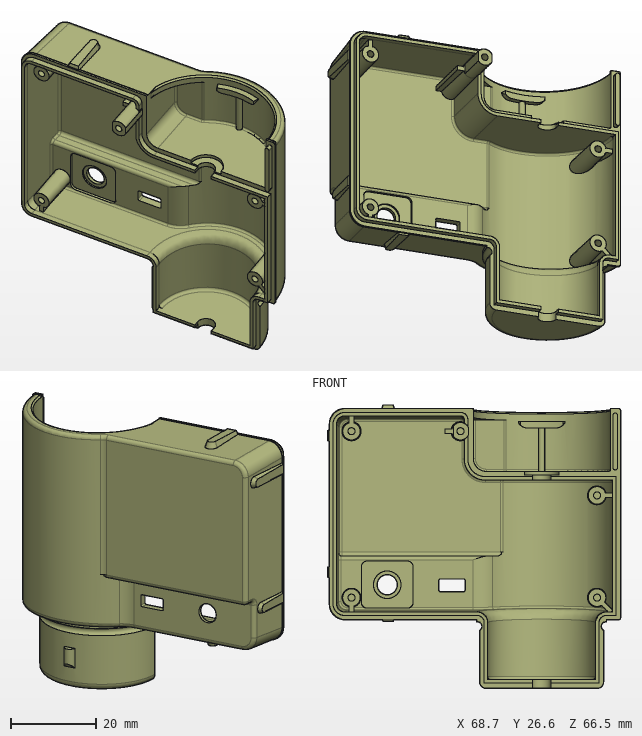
import cadquery as cq
import math

draft = 3.0
back_wall = 1.9
reach = 41.2
overlap = 0.7

barrel_radius = 18.55
body_left = -49.8
body_bottom = 16.1
body_top = 65.7
body_corner = 3.7
deep_back = 15.65
deep_blend = 2.75
shallow_back = 12.1
shallow_blend = 4.6
step_z = 29.4
step_fillet = 0.9
back_fillet = 1.0
band_depth = 0.6
band_right_corner = 0.55
band_step = 0.15

inner_radius = barrel_radius - back_wall
inner_deep_blend = 1.1
inner_shallow_blend = shallow_blend + back_wall
deep_floor = deep_back - back_wall
shallow_floor = shallow_back - back_wall
inner_step_z = 31.05
floor_fillet = 0.55
cavity_left = -48.1
cavity_bottom = 17.9
cavity_top = 63.9
cavity_corner = 1.9
cavity_top_corner = 0.8
divider_left = -18.1
divider_bottom = 48.85
divider_corner = 4.95

lip_height = 1.45
lip_width = 0.8

collar_radius = 14.55
collar_bore_radius = 12.65
collar_floor = 2.05
collar_fillet = 1.6
bore_fillet = 0.75
neck_flare = 2.5
flange_radius = 15.25
groove_radius = 1.0
groove_center_radius = 15.05
groove_center_z = 14.55

bay_radius = 16.15
bay_left = -16.0
bay_bottom = 50.9
bay_corner = 3.0
bay_pocket_top = 63.6
bay_pocket_back = 13.7
bay_pocket_blend = 1.0
bay_pocket_right = -8.25
bay_floor_fillet = 0.5
bay_rim_chamfer = 0.4

shaft_radius = 2.2
shaft_seat_radius = 4.05
shaft_seat_depth = 0.8

boss_radius = 2.05
boss_draft = 0.8
boss_face = 0.35
boss_hole_radius = 0.8
boss_hole_depth = 5.5
web_width = 1.1
boss_left_x = -44.6
boss_right_x = 13.0
boss_high_z = 60.3
boss_low_z = 21.3
boss_side_z = 45.3

post_x = -19.0
post_left = -20.7
post_right = -17.2
post_end = -8.0
post_web_left = -22.6

boss_places = (
    (boss_left_x, boss_high_z),
    (boss_left_x, boss_low_z),
    (boss_right_x, boss_side_z),
    (boss_right_x, boss_low_z),
    (post_x, boss_high_z),
)

jack_x = -36.2
jack_z = 24.3
jack_hole_radius = 2.35
jack_seat_radius = 3.2
jack_seat_depth = 0.4
pad_width = 12.15
pad_bottom = 18.8
pad_top = 29.9
pad_corner = 1.4
pad_depth = 0.6
slot_x = -21.0
slot_z = 24.2
slot_width = 6.1
slot_height = 2.95
slot_corner = 0.35

grip_base_width = 3.7
grip_tip_width = 3.3
grip_sink = 1.8
grip_slope = 20.0
grip_x = -36.0
top_grip_face = 66.5
top_grip_tip = 11.55
bottom_grip_face = 15.65
left_grip_face = -50.15
high_grip_z = 59.3
low_grip_z = 27.3
deep_grip_tip = 13.95
shallow_grip_tip = 11.05

bead_x = 17.25
bead_width = 1.1
bead_bottom = 51.25
bead_top = 64.6
catch_radius = 14.7
catch_half_width = 5.55
catch_flat = 3.3
catch_bottom = 61.05
catch_top = 62.6
catch_half_angle = 19.8
stem_radius = 0.75
stem_y = 15.8

peg_radius = 1.4
peg_bottom = 5.15
peg_top = 10.0
peg_slope = 1.2


def box_between(x0, x1, y0, y1, z0, z1):
    """Box between two corners."""
    return cq.Workplane("XY").box(x1 - x0, y1 - y0, z1 - z0, centered=False).translate((x0, y0, z0))


def rounded_outline(plane, corners):
    """Closed outline of square corners given as (u, v, radius)."""
    outline = cq.Workplane(plane)
    for index, (u, v, radius) in enumerate(corners):
        before = corners[index - 1]
        after = corners[(index + 1) % len(corners)]
        to_before = cq.Vector(before[0] - u, before[1] - v).normalized() * radius
        to_after = cq.Vector(after[0] - u, after[1] - v).normalized() * radius
        corner = cq.Vector(u, v)
        start = (corner + to_before).toTuple()[:2]
        end = (corner + to_after).toTuple()[:2]
        middle = (corner + (to_before + to_after) * (1 - math.sqrt(0.5))).toTuple()[:2]
        outline = outline.moveTo(*start) if index == 0 else outline.lineTo(*start)
        if radius > 0:
            outline = outline.threePointArc(middle, end)
    return outline.close()


def pull(outline, y0, y1, taper=0.0):
    """Pull an X-Z outline along Y from y0 to y1."""
    return outline.extrude(y0 - y1, taper=taper).translate((0, y0, 0))


def drafted_block(corners, y0):
    """Block with drafted sides and constant corner radii, narrowing from y0 towards the back."""
    sharp = [(u, v, 0) for u, v, _ in corners]
    block = pull(rounded_outline("XZ", sharp), y0, reach, draft)
    for u, v, radius in corners:
        if radius > 0:
            block = block.edges(cq.NearestToPointSelector((u, (y0 + reach) / 2, v))).fillet(radius)
    return block


def rod(radius, x, z, y0, y1, taper=0.0):
    """Round bar along Y."""
    return pull(cq.Workplane("XZ").center(x, z).circle(radius), y0, y1, taper)


def back_half(solid):
    """The part of a solid behind the parting plane."""
    return solid.intersect(box_between(-2 * reach, reach, 0, reach, -reach, 2 * reach))


def round_bar(radius, z0, z1):
    """Cylinder about the barrel axis."""
    return cq.Workplane("XY").workplane(offset=z0).circle(radius).extrude(z1 - z0)


def block_and_barrel(radius, back, blend):
    """Flat-backed block that runs into the half barrel through a tangent blend."""
    blend_y = back + blend
    blend_x = -math.sqrt((radius + blend) ** 2 - blend_y ** 2)
    join = radius / (radius + blend)
    mid_angle = (math.atan2(-blend_y, -blend_x) - math.pi / 2) / 2
    blend_middle = (blend_x + blend * math.cos(mid_angle), blend_y + blend * math.sin(mid_angle))
    barrel_middle = (radius * math.sqrt(0.5), radius * math.sqrt(0.5))
    return (
        cq.Workplane("XY")
        .moveTo(radius, 0)
        .lineTo(-2 * reach, 0)
        .lineTo(-2 * reach, back)
        .lineTo(blend_x, back)
        .threePointArc(blend_middle, (blend_x * join, blend_y * join))
        .threePointArc(barrel_middle, (radius, 0))
        .close()
        .extrude(2 * reach)
    )


def above_step(low_y, high_y, z):
    """Everything above an S-shaped step from one back plane to a deeper one."""
    slant = step_fillet * math.sqrt(0.5)
    foot = z - step_fillet
    head = z + step_fillet
    return (
        cq.Workplane("YZ").workplane(offset=-2 * reach)
        .moveTo(0, foot)
        .lineTo(low_y, foot)
        .threePointArc((low_y + step_fillet - slant, foot + slant), (low_y + step_fillet, z))
        .lineTo(high_y - step_fillet, z)
        .threePointArc((high_y - step_fillet + slant, head - slant), (high_y, head))
        .lineTo(reach, head)
        .lineTo(reach, 2 * reach)
        .lineTo(0, 2 * reach)
        .close()
        .extrude(4 * reach)
    )


def stepped_form(radius, deep, deep_radius, shallow, shallow_radius, z):
    """Shallow and deep blocks joined to one barrel, with the step at height z."""
    shallow_part = block_and_barrel(radius, shallow, shallow_radius)
    deep_part = block_and_barrel(radius, deep, deep_radius)
    return shallow_part.union(deep_part.intersect(above_step(shallow, deep, z)))


def body_corners(inset, right, right_corner):
    """Front corners of the main body."""
    left = body_left + inset
    bottom = body_bottom + inset
    top = body_top - inset
    left_corner = body_corner - inset
    return [
        (left, bottom, left_corner),
        (left, top, left_corner),
        (right, top, right_corner),
        (right, bottom, right_corner),
    ]


def cavity_corners(grow):
    """Front corners of the cavity and the collar bore, offset outwards by grow."""
    left = cavity_left - grow
    right = inner_radius + grow
    bottom = cavity_bottom - grow
    top = cavity_top + grow
    leg = divider_left + grow
    ceiling = divider_bottom + grow
    bore = collar_bore_radius + grow
    floor = collar_floor - grow
    flare = neck_flare - grow
    return [
        (left, bottom, cavity_corner + grow),
        (left, top, cavity_corner + grow),
        (leg, top, cavity_top_corner + grow),
        (leg, ceiling, divider_corner - grow),
        (right, ceiling, 0),
        (right, bottom, 0),
        (bore, bottom, flare),
        (bore, floor, 0),
        (-bore, floor, 0),
        (-bore, bottom, flare),
    ]


def make_body():
    """Drafted outer form with its back perimeter rounded and a straight band at the front."""
    form = stepped_form(barrel_radius, deep_back, deep_blend, shallow_back, shallow_blend, step_z)
    body = form.intersect(drafted_block(body_corners(band_step, reach, 0), band_depth))
    back_edge = cq.NearestToPointSelector((body_left / 2, deep_back, body_top))
    body = body.edges(back_edge).fillet(back_fillet)
    band = rounded_outline("XZ", body_corners(0, barrel_radius, band_right_corner))
    return body.union(pull(band, 0, band_depth))


def make_collar():
    """Turned collar with a rounded end and a groove below the body."""
    slant = collar_fillet * (1 - math.sqrt(0.5))
    groove_drop = math.sqrt(groove_radius ** 2 - (groove_center_radius - collar_radius) ** 2)
    groove_top = groove_center_z + groove_radius
    profile = (
        cq.Workplane("XZ")
        .lineTo(collar_radius - collar_fillet, 0)
        .threePointArc((collar_radius - slant, slant), (collar_radius, collar_fillet))
        .lineTo(collar_radius, groove_center_z - groove_drop)
        .threePointArc(
            (groove_center_radius - groove_radius, groove_center_z),
            (groove_center_radius, groove_top),
        )
        .lineTo(flange_radius, groove_top)
        .lineTo(flange_radius, cavity_bottom)
        .lineTo(0, cavity_bottom)
        .close()
    )
    return back_half(profile.revolve(360, (0, 0, 0), (0, 1, 0)))


def make_bosses():
    """Screw bosses with their webs, reaching past the cavity floor."""
    half = web_width / 2
    low = boss_low_z
    webs = [
        box_between(boss_left_x - half, boss_left_x + half, boss_face, reach, boss_high_z, body_top),
        box_between(boss_left_x - half, boss_left_x + half, boss_face, reach, body_bottom, low),
        box_between(boss_right_x, barrel_radius, boss_face, reach, boss_side_z - half, boss_side_z + half),
        box_between(post_web_left, post_x, boss_face, reach, boss_high_z - half, boss_high_z + half),
        box_between(0, barrel_radius - boss_right_x, boss_face, reach, -half, half)
        .rotate((0, 0, 0), (0, 1, 0), 45).translate((boss_right_x, 0, low)),
    ]
    bosses = cq.Workplane("XY")
    for x, z in boss_places:
        bosses = bosses.add(rod(boss_radius, x, z, boss_face, reach / 2, -boss_draft))
    for web in webs:
        bosses = bosses.add(web)
    return bosses.combine()


def make_cavity():
    """Space inside the body and the collar, around the bosses."""
    walls = drafted_block(
        [
            (cavity_left, cavity_bottom, cavity_corner),
            (cavity_left, cavity_top, cavity_corner),
            (reach, cavity_top, 0),
            (reach, cavity_bottom, 0),
        ],
        0,
    )
    divider_corners = [
        (divider_left, divider_bottom, divider_corner),
        (divider_left, 2 * reach, 0),
        (reach, 2 * reach, 0),
        (reach, divider_bottom, 0),
    ]
    walls = walls.cut(pull(rounded_outline("XZ", divider_corners), 0, reach))
    top_corner = cq.NearestToPointSelector((divider_left, reach / 2, cavity_top))
    walls = walls.edges(top_corner).fillet(cavity_top_corner)

    form = stepped_form(
        inner_radius, deep_floor, inner_deep_blend, shallow_floor, inner_shallow_blend, inner_step_z
    )
    main = form.intersect(walls)
    floor_edge = cq.NearestToPointSelector((cavity_left / 2, deep_floor, cavity_top))
    main = main.edges(floor_edge).fillet(floor_fillet)

    bore = round_bar(collar_bore_radius, collar_floor, inner_step_z)
    bore = bore.faces("<Z").edges().fillet(bore_fillet)
    cavity = main.union(back_half(bore))
    neck_edge = cq.NearestToPointSelector((0, collar_bore_radius, cavity_bottom))
    cavity = cavity.edges(neck_edge).fillet(neck_flare)
    return cavity.cut(make_bosses())


def make_lip():
    """Raised rim that follows the cavity."""
    outer = pull(rounded_outline("XZ", cavity_corners(lip_width)), 0, -lip_height)
    return outer.cut(pull(rounded_outline("XZ", cavity_corners(0)), 0, -lip_height))


def make_bay():
    """Open-topped half barrel with a wider pocket on its left, below the rim."""
    bay_corners = [
        (bay_left, bay_bottom, bay_corner),
        (bay_left, 2 * reach, 0),
        (reach, 2 * reach, 0),
        (reach, bay_bottom, 0),
    ]
    ceiling_corners = [
        (-reach, 0, 0),
        (-reach, bay_pocket_top, 0),
        (reach, bay_pocket_top, 0),
        (reach, 0, 0),
    ]
    barrel = back_half(round_bar(bay_radius, 0, 2 * reach))
    pocket = block_and_barrel(bay_radius, bay_pocket_back, bay_pocket_blend)
    pocket = pocket.intersect(drafted_block(ceiling_corners, 0))
    pocket = pocket.intersect(box_between(-reach, bay_pocket_right, 0, reach, 0, 2 * reach))
    bay = barrel.union(pocket).intersect(pull(rounded_outline("XZ", bay_corners), 0, reach))
    floor_edge = cq.NearestToPointSelector((0, bay_radius, bay_bottom))
    return bay.edges(floor_edge).fillet(bay_floor_fillet)


def make_shaft_notches():
    """Half-round notches through the divider and the collar end, with a seat on the divider."""
    notches = round_bar(shaft_seat_radius, bay_bottom - shaft_seat_depth, bay_bottom + overlap)
    for bottom, top in ((divider_bottom - lip_width, bay_bottom), (0, collar_floor)):
        z0 = bottom - overlap
        z1 = top + overlap
        notches = notches.union(round_bar(shaft_radius, z0, z1))
        notches = notches.union(box_between(-shaft_radius, shaft_radius, -reach, 0, z0, z1))
    return notches


def make_jack_openings():
    """Recessed pad with a stepped hole, and the slot beside it."""
    pad_height = pad_top - pad_bottom
    pad_y = shallow_floor + pad_depth
    pad = pull(
        cq.Workplane("XZ").center(jack_x, pad_bottom + pad_height / 2).rect(pad_width, pad_height),
        shallow_floor - overlap, pad_y,
    ).edges("|Y").fillet(pad_corner)
    seat = rod(jack_seat_radius, jack_x, jack_z, shallow_floor, pad_y + jack_seat_depth)
    hole = rod(jack_hole_radius, jack_x, jack_z, shallow_floor, reach)
    slot = pull(
        cq.Workplane("XZ").center(slot_x, slot_z).rect(slot_width, slot_height),
        shallow_floor - overlap, reach,
    ).edges("|Y").fillet(slot_corner)
    return pad.union(seat).union(hole).union(slot)


def make_grip(tip, turn, place):
    """Tapered rib with sloped sides and a round tip along Y, turned about Y to face its wall."""
    base = grip_base_width / 2
    end = grip_tip_width / 2
    grip = (
        cq.Workplane("XY").workplane(offset=-grip_sink)
        .moveTo(-base, 0)
        .lineTo(-end, tip - end)
        .threePointArc((0, tip), (end, tip - end))
        .lineTo(base, 0)
        .close()
        .extrude(grip_sink, taper=grip_slope)
    )
    return grip.rotate((0, 0, 0), (0, 1, 0), turn).translate(place)


def make_grips():
    """Grip ribs on the left, top and bottom walls."""
    grips = make_grip(top_grip_tip, 0, (grip_x, 0, top_grip_face))
    grips = grips.union(make_grip(shallow_grip_tip, 180, (grip_x, 0, bottom_grip_face)))
    grips = grips.union(make_grip(shallow_grip_tip, -90, (left_grip_face, 0, low_grip_z)))
    return grips.union(make_grip(deep_grip_tip, -90, (left_grip_face, 0, high_grip_z)))


def make_post():
    """Long post with two flat sides, in front of the upper middle boss."""
    post = rod(boss_radius, post_x, boss_high_z, boss_face, post_end)
    return post.intersect(box_between(post_left, post_right, -reach, reach, 0, 2 * reach))


def make_boss_holes():
    """Blind screw holes in the bosses and in the end of the post."""
    holes = rod(boss_hole_radius, post_x, boss_high_z, post_end, post_end + boss_hole_depth)
    for x, z in boss_places[:-1]:
        holes = holes.union(rod(boss_hole_radius, x, z, boss_face, boss_face + boss_hole_depth))
    return holes


def make_bead():
    """Round-ended bead on the right edge of the bay."""
    middle = (bead_bottom + bead_top) / 2
    outline = cq.Workplane("XZ").center(bead_x, middle).slot2D(bead_top - bead_bottom, bead_width, 90)
    return pull(outline, band_depth, -lip_height)


def make_catch():
    """Curved ledge on the back of the bay, with a stem down to the divider."""
    ring = round_bar(bay_radius + overlap, catch_bottom, catch_top)
    ring = ring.cut(round_bar(catch_radius, catch_bottom, catch_top))
    side = catch_half_width - catch_flat
    height = catch_top - catch_bottom
    end_radius = (side ** 2 + height ** 2) / (2 * height)
    half_turn = math.asin(side / end_radius) / 2
    arc_x = catch_flat + end_radius * math.sin(half_turn)
    arc_z = catch_bottom + end_radius * (1 - math.cos(half_turn))
    front = (
        cq.Workplane("XZ")
        .moveTo(-catch_half_width, catch_top)
        .lineTo(catch_half_width, catch_top)
        .threePointArc((arc_x, arc_z), (catch_flat, catch_bottom))
        .lineTo(-catch_flat, catch_bottom)
        .threePointArc((-arc_x, arc_z), (-catch_half_width, catch_top))
        .close()
    )
    spread = reach * math.tan(math.radians(catch_half_angle))
    wedge = cq.Workplane("XY").polyline([(0, 0), (spread, reach), (-spread, reach)]).close()
    catch = ring.intersect(pull(front, 0, reach)).intersect(wedge.extrude(2 * reach))
    stem = cq.Workplane("XY").workplane(offset=bay_bottom - overlap).center(0, stem_y).circle(stem_radius)
    return catch.union(stem.extrude(catch_bottom - bay_bottom + 2 * overlap))


def make_peg():
    """Round peg on the back of the collar, cut at a slope on its lower side."""
    peg = cq.Workplane("XY").workplane(offset=peg_bottom).center(0, collar_radius).circle(peg_radius)
    peg = peg.extrude(peg_top - peg_bottom)
    slope = (
        cq.Workplane("YZ").workplane(offset=-peg_radius)
        .polyline([
            (collar_radius, peg_bottom),
            (collar_radius + peg_radius, peg_bottom + peg_slope),
            (collar_radius + peg_radius, peg_bottom),
        ])
        .close()
        .extrude(2 * peg_radius)
    )
    return peg.cut(slope)


housing = make_body().union(make_collar()).union(make_grips())
housing = housing.cut(make_cavity()).union(make_lip())
housing = housing.cut(make_bay())
bay_rim = cq.NearestToPointSelector((0, bay_radius, body_top))
housing = housing.edges(bay_rim).chamfer(bay_rim_chamfer)
housing = housing.cut(make_shaft_notches()).cut(make_jack_openings())
housing = housing.union(make_post()).cut(make_boss_holes())
result = housing.union(make_bead()).union(make_catch()).union(make_peg())